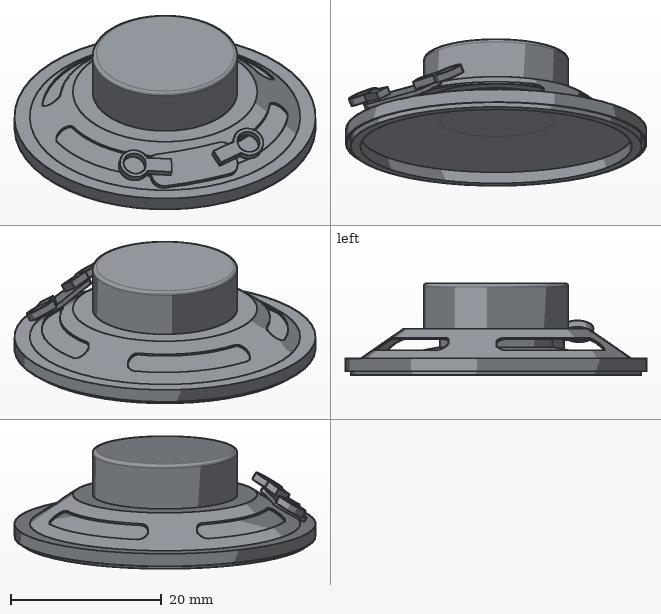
import cadquery as cq
import math

sheet = 0.2
rim_radius = 20.0
slope_bottom_radius = 17.95
slope_top_radius = 12.25
cup_radius = 9.62
rim_bottom_z = 0.5
rim_top_z = 2.2
shelf_z = 6.15
cup_top_z = 12.2
cup_fillet = 0.5

window_count = 4
window_pitch = 360 / window_count
window_radius = 15.15
window_width = 2.4
window_start = 4.6
window_sweep = 56.0

core_radius = 7.5
core_bottom_z = 3.7

ring_outer_radius = 19.3
ring_inner_radius = 18.05
cone_edge_z = 1.7
cone_thickness = 0.2

board_width = 4.8
board_length = 12.0
board_thickness = 0.6
board_bulge = 0.3
board_corner = 1.6
eyelet_spacing = 16.0
eyelet_offset = -1.35
eyelet_radius = 2.0
eyelet_hole_radius = 1.5
lug_height = 1.0
tab_width = 1.9
tab_length = 4.95
tab_angle = 15.0
strip_tilt = 31.0
strip_turn = -5.0
strip_center = (15.8, -3.05, 4.7)


def polar(radius, angle):
    a = math.radians(angle)
    return (radius * math.cos(a), radius * math.sin(a))


def revolve_profile(points):
    """Turn a closed (radius, z) profile around the Z axis."""
    return cq.Workplane("XZ").polyline(points).close().revolve(360, (0, 0), (0, 1))


def make_window():
    """Curved slot with round ends, as a tall vertical cutter."""
    half = window_width / 2
    inner = window_radius - half
    outer = window_radius + half
    start = window_start
    middle = start + window_sweep / 2
    end = start + window_sweep
    cap = math.degrees(half / window_radius)
    return (
        cq.Workplane("XY")
        .workplane(offset=rim_top_z)
        .moveTo(*polar(outer, start))
        .threePointArc(polar(outer, middle), polar(outer, end))
        .threePointArc(polar(window_radius, end + cap), polar(inner, end))
        .threePointArc(polar(inner, middle), polar(inner, start))
        .threePointArc(polar(window_radius, start - cap), polar(outer, start))
        .close()
        .extrude(shelf_z - rim_top_z)
    )


def make_frame():
    slope = math.atan2(shelf_z - rim_top_z, slope_bottom_radius - slope_top_radius)
    inset = sheet * math.tan(slope / 2)
    outside = revolve_profile([
        (0, rim_bottom_z),
        (rim_radius, rim_bottom_z),
        (rim_radius, rim_top_z),
        (slope_bottom_radius, rim_top_z),
        (slope_top_radius, shelf_z),
        (cup_radius, shelf_z),
        (cup_radius, cup_top_z),
        (0, cup_top_z),
    ]).faces(">Z").edges().fillet(cup_fillet)
    inside = revolve_profile([
        (0, rim_bottom_z),
        (rim_radius - sheet, rim_bottom_z),
        (rim_radius - sheet, rim_top_z - sheet),
        (slope_bottom_radius - inset, rim_top_z - sheet),
        (slope_top_radius - inset, shelf_z - sheet),
        (cup_radius - sheet, shelf_z - sheet),
        (cup_radius - sheet, cup_top_z - sheet),
        (0, cup_top_z - sheet),
    ]).faces(">Z").edges().fillet(cup_fillet - sheet)
    frame = outside.cut(inside)
    window = make_window()
    for i in range(window_count):
        frame = frame.cut(window.rotate((0, 0, 0), (0, 0, 1), i * window_pitch))
    return frame


def make_magnet():
    """Magnet filling the cup, with a narrower core reaching down to the diaphragm."""
    magnet_radius = cup_radius - sheet
    magnet_bottom_z = shelf_z - sheet
    magnet_top_z = cup_top_z - sheet
    return revolve_profile([
        (0, core_bottom_z),
        (core_radius, core_bottom_z),
        (core_radius, magnet_bottom_z),
        (magnet_radius, magnet_bottom_z),
        (magnet_radius, magnet_top_z),
        (0, magnet_top_z),
    ]).faces(">Z").edges().fillet(cup_fillet - sheet)


def make_diaphragm():
    """Shallow cone, flat under the magnet core, with a ring that sits under the rim."""
    ring_top_z = rim_top_z - sheet
    return revolve_profile([
        (0, core_bottom_z),
        (core_radius, core_bottom_z),
        (ring_inner_radius, cone_edge_z),
        (ring_inner_radius, ring_top_z),
        (ring_outer_radius, ring_top_z),
        (ring_outer_radius, 0),
        (ring_inner_radius, 0),
        (ring_inner_radius, cone_edge_z - cone_thickness),
        (core_radius, core_bottom_z - cone_thickness),
        (0, core_bottom_z - cone_thickness),
    ])


def make_lug(side):
    """Eyelet with a tab that slants outward over the board; side is +1 or -1 along Y."""
    eyelet_y = side * eyelet_spacing / 2
    tab = (
        cq.Workplane("XY")
        .rect(tab_width, tab_length)
        .extrude(lug_height)
        .translate((0, -side * tab_length / 2, 0))
        .rotate((0, 0, 0), (0, 0, 1), side * tab_angle)
    )
    eyelet = cq.Workplane("XY").circle(eyelet_radius).extrude(lug_height)
    hole = cq.Workplane("XY").circle(eyelet_hole_radius).extrude(lug_height)
    return eyelet.union(tab).cut(hole).translate((0, eyelet_y, 0))


def make_terminal_strip():
    """Bowed board carrying two lugs whose eyelets hang past its ends."""
    half_w = board_width / 2
    half_l = board_length / 2
    side_x = half_w - board_bulge
    strip = (
        cq.Workplane("XY")
        .moveTo(side_x, -half_l)
        .threePointArc((half_w, 0), (side_x, half_l))
        .lineTo(-half_w - board_bulge, half_l)
        .threePointArc((-half_w, 0), (-half_w - board_bulge, -half_l))
        .close()
        .extrude(-board_thickness)
        .edges("|Z")
        .fillet(board_corner)
    )
    for side in (1, -1):
        lug = make_lug(side).translate((eyelet_offset, 0, 0))
        strip = strip.union(lug)
    return (
        strip.rotate((0, 0, 0), (0, 1, 0), strip_tilt)
        .rotate((0, 0, 0), (0, 0, 1), strip_turn)
        .translate(strip_center)
    )


frame = make_frame()
magnet = make_magnet()
diaphragm = make_diaphragm()
terminal_strip = make_terminal_strip()

result = cq.Compound.makeCompound([
    frame.solids().val(),
    magnet.solids().val(),
    diaphragm.solids().val(),
    terminal_strip.solids().val(),
])